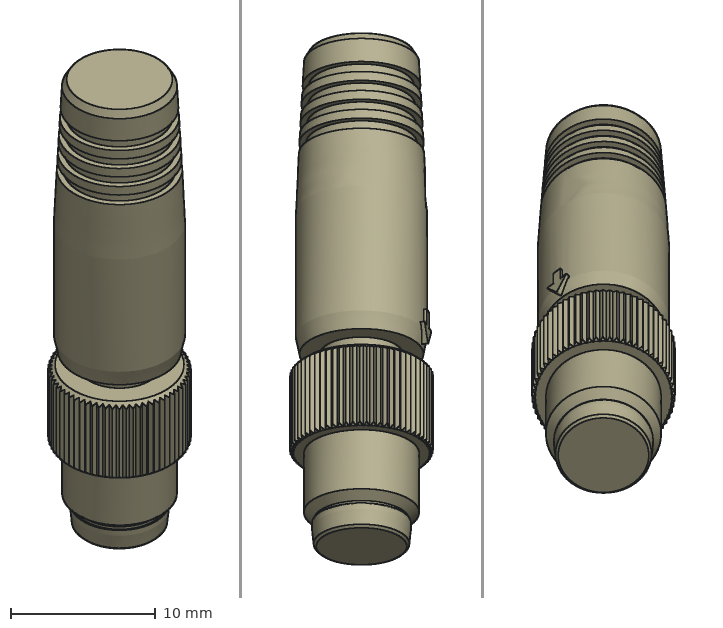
import cadquery as cq
import math


total_height = 37.3
grip_bottom = 14.6
nut_top = 13.3
knurl_bottom = 7.05
nut_bottom = 1.98

grip_radius = 4.55
grip_lead_height = 1.25
grip_lead_radius = 4.3
taper_bottom = 25.3
taper_middle = 30.95
taper_middle_radius = 4.3
taper_top_radius = 4.0
rim_height = 0.55
rim_width = 0.35

groove_count = 4
groove_height = 0.8
groove_depth = 0.45
first_groove_bottom = 29.75
last_groove_top = 34.95
groove_pitch = (last_groove_top - groove_height - first_groove_bottom) / (groove_count - 1)

arrow_face_distance = 4.77
arrow_top = 17.3
arrow_shoulder = 16.1
arrow_tip = 14.75
arrow_shaft_half_width = 0.317
arrow_head_half_width = 0.9
arrow_tip_rounding = 0.1
arrow_root_distance = grip_radius / 2

knurl_width = 9.9
knurl_tooth_count = 64
knurl_tooth_depth = 0.25
knurl_half_pitch = math.pi / knurl_tooth_count
knurl_tip_radius = knurl_width / 2 / math.cos(knurl_half_pitch)
nut_top_chamfer_height = 0.37
nut_top_chamfer_width = 0.5
nut_bottom_chamfer = 0.22
sleeve_radius = 4.0
sleeve_chamfer_height = 0.6

neck_radius = 2.87
spigot_radius = 3.32
collar_top = 1.75
collar_bottom = 1.3
collar_radius = 3.45
carrier_end_chamfer = 0.2


def turned(points):
    """Solid of revolution about Z from (radius, height) corners."""
    return cq.Workplane("XZ").polyline(points).close().revolve(360, (0, 0, 0), (0, 1, 0))


def grip_envelope(inset):
    """Grip without grooves or arrow, with all its radii reduced by inset."""
    rim_bottom = total_height - rim_height
    return (
        cq.Workplane("XZ")
        .moveTo(0, grip_bottom)
        .lineTo(grip_lead_radius - inset, grip_bottom)
        .lineTo(grip_radius - inset, grip_bottom + grip_lead_height)
        .lineTo(grip_radius - inset, taper_bottom)
        .threePointArc(
            (taper_middle_radius - inset, taper_middle),
            (taper_top_radius - inset, rim_bottom),
        )
        .lineTo(taper_top_radius - rim_width - inset, total_height)
        .lineTo(0, total_height)
        .close()
        .revolve(360, (0, 0, 0), (0, 1, 0))
    )


def grip_grooves():
    """Rings to cut away; their floors follow the taper of the grip."""
    bands = cq.Workplane("XY")
    for index in range(groove_count):
        bottom = first_groove_bottom + index * groove_pitch
        bands = bands.add(
            cq.Workplane("XY").workplane(offset=bottom).circle(grip_radius).extrude(groove_height)
        )
    return bands.combine().cut(grip_envelope(groove_depth))


def grip_arrow():
    """Flat-faced arrow, rooted inside the grip."""
    half_outline = [
        (arrow_shaft_half_width, arrow_top),
        (arrow_shaft_half_width, arrow_shoulder),
        (arrow_head_half_width, arrow_shoulder),
    ]
    other_half = [(-y, z) for y, z in reversed(half_outline)]
    return (
        cq.Workplane("YZ", origin=(-arrow_face_distance, 0, 0))
        .polyline(half_outline + [(0, arrow_tip)] + other_half)
        .close()
        .extrude(arrow_face_distance - arrow_root_distance)
        .edges("|X and <Z")
        .fillet(arrow_tip_rounding)
    )


def make_grip():
    return grip_envelope(0).cut(grip_grooves()).union(grip_arrow())


def knurl_prism():
    """Straight V-toothed prism, with a valley between teeth on each axis."""
    root_radius = knurl_tip_radius - knurl_tooth_depth
    outline = []
    for index in range(2 * knurl_tooth_count):
        radius = knurl_tip_radius if index % 2 else root_radius
        angle = index * knurl_half_pitch
        outline.append((radius * math.cos(angle), radius * math.sin(angle)))
    return (
        cq.Workplane("XY")
        .workplane(offset=knurl_bottom)
        .polyline(outline)
        .close()
        .extrude(nut_top - knurl_bottom)
    )


def make_nut():
    chamfered_blank = turned([
        (0, knurl_bottom),
        (knurl_tip_radius - nut_bottom_chamfer, knurl_bottom),
        (knurl_tip_radius, knurl_bottom + nut_bottom_chamfer),
        (knurl_tip_radius, nut_top - nut_top_chamfer_height),
        (knurl_tip_radius - nut_top_chamfer_width, nut_top),
        (0, nut_top),
    ])
    sleeve = turned([
        (0, nut_bottom),
        (spigot_radius, nut_bottom),
        (sleeve_radius, nut_bottom + sleeve_chamfer_height),
        (sleeve_radius, knurl_bottom),
        (0, knurl_bottom),
    ])
    bore = (
        cq.Workplane("XY")
        .workplane(offset=nut_bottom)
        .circle(neck_radius)
        .extrude(nut_top - nut_bottom)
    )
    return knurl_prism().intersect(chamfered_blank).union(sleeve).cut(bore)


def make_carrier():
    return turned([
        (0, 0),
        (spigot_radius - carrier_end_chamfer, 0),
        (spigot_radius, carrier_end_chamfer),
        (collar_radius, collar_bottom),
        (collar_radius, collar_top),
        (spigot_radius, collar_top),
        (spigot_radius, nut_bottom),
        (neck_radius, nut_bottom),
        (neck_radius, grip_bottom),
        (0, grip_bottom),
    ])


grip = make_grip()
nut = make_nut()
carrier = make_carrier()

result = cq.Compound.makeCompound([grip.val(), nut.val(), carrier.val()])